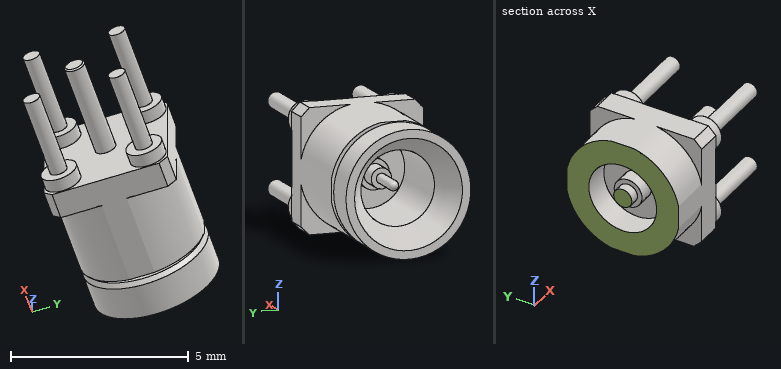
import cadquery as cq

length = 7.37
body_diameter = 3.76
flange_width = 3.685

collar_end = 1.15
groove_end = 1.27
flange_start = 3.765
flange_end = 4.55
standoff_end = 4.94

collar_bevel_length = 0.14
collar_bevel_height = 0.1
groove_diameter = 3.05
flange_chamfer = 0.25

mouth_diameter = 3.24
bore_diameter = 2.21
cone_depth = 0.885
bore_end = 3.32

insulator_diameter = 0.915
insulator_start = 2.8
contact_diameter = 0.61
contact_shoulder = 2.21
contact_tip_diameter = 0.3
contact_tip_start = 1.09

pin_diameter = 0.51
pin_offset = 1.27
standoff_diameter = 1.07
center_pin_chamfer = 0.045


def rod(diameter, start, end, y=0.0, z=0.0):
    """Cylinder parallel to X between two stations."""
    plane = cq.Workplane("YZ", origin=(start, y, z))
    return plane.circle(diameter / 2).extrude(end - start)


def square_bar(start, end):
    """Square bar along X with the width of the flange."""
    return cq.Workplane("YZ", origin=(start, 0, 0)).rect(flange_width, flange_width).extrude(end - start)


def make_shell():
    """Collar, groove, flat-sided barrel and square flange."""
    collar_radius = body_diameter / 2
    collar = (
        cq.Workplane("XY")
        .moveTo(0, 0)
        .lineTo(0, collar_radius)
        .lineTo(collar_end - collar_bevel_length, collar_radius)
        .lineTo(collar_end, collar_radius - collar_bevel_height)
        .lineTo(collar_end, 0)
        .close()
        .revolve(360, (0, 0, 0), (1, 0, 0))
    )
    groove = rod(groove_diameter, collar_end, groove_end)
    barrel = rod(body_diameter, groove_end, flange_start).intersect(square_bar(groove_end, flange_start))
    flange = square_bar(flange_start, flange_end).edges("|X").chamfer(flange_chamfer)
    return collar.union(groove).union(barrel).union(flange)


def make_socket():
    """Conical mouth leading into a blind cylindrical bore."""
    return (
        cq.Workplane("XY")
        .moveTo(0, 0)
        .lineTo(0, mouth_diameter / 2)
        .lineTo(cone_depth, bore_diameter / 2)
        .lineTo(bore_end, bore_diameter / 2)
        .lineTo(bore_end, 0)
        .close()
        .revolve(360, (0, 0, 0), (1, 0, 0))
    )


def make_contact():
    """Stepped center contact with a hemispherical tip."""
    tip_radius = contact_tip_diameter / 2
    tip_center = contact_tip_start + tip_radius
    insulator = rod(insulator_diameter, insulator_start, flange_start)
    shoulder = rod(contact_diameter, contact_shoulder, flange_start)
    tip = rod(contact_tip_diameter, tip_center, flange_start)
    ball = cq.Workplane("XY", origin=(tip_center, 0, 0)).sphere(tip_radius)
    return insulator.union(shoulder).union(tip).union(ball)


def make_center_pin():
    """Rear center pin with a chamfered end."""
    return rod(contact_diameter, flange_start, length).faces(">X").chamfer(center_pin_chamfer)


result = make_shell().cut(make_socket()).union(make_contact()).union(make_center_pin())

for y in (-pin_offset, pin_offset):
    for z in (-pin_offset, pin_offset):
        result = result.union(rod(standoff_diameter, flange_start, standoff_end, y, z))
        result = result.union(rod(pin_diameter, flange_start, length, y, z))